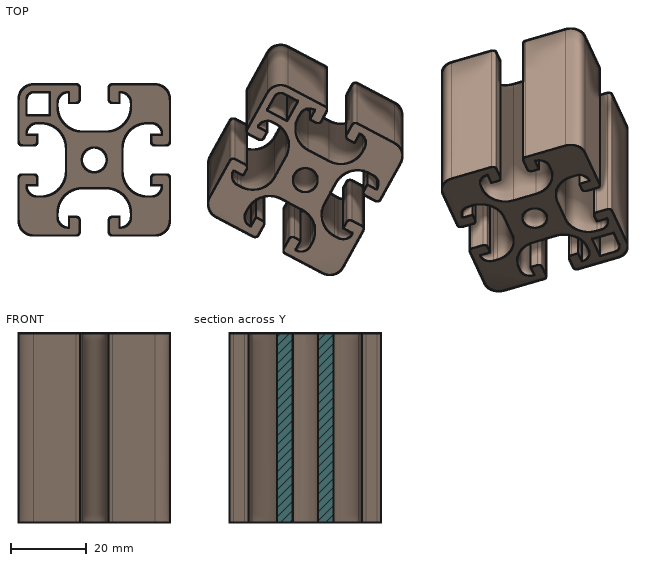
import cadquery as cq

side = 40.0
length = 50.0
corner_radius = 4.0
wall = 2.15
bore_diameter = 6.5

opening_width = 7.6
lip_depth = 5.0
lip_thickness = 2.9
lip_radius = 1.0
slot_depth = 12.5
slot_width = 19.3
floor_radius = 6.5
shoulder_radius = 2.75

half_side = side / 2
half_opening = opening_width / 2
half_slot = slot_width / 2
slot_floor = half_side - slot_depth
slot_ceiling = half_side - wall
lip_end = half_side - lip_depth
lip_back = half_opening + lip_thickness


def make_bar():
    return (
        cq.Workplane("XY")
        .rect(side, side)
        .extrude(length)
        .edges("|Z")
        .fillet(corner_radius)
    )


def vertical_edges_at(points):
    """Select the full-length edges standing on the given XY points."""
    tolerance = 0.05
    selector = None
    for x, y in points:
        box = cq.selectors.BoxSelector(
            (x - tolerance, y - tolerance, -tolerance),
            (x + tolerance, y + tolerance, length + tolerance),
        )
        selector = box if selector is None else selector + box
    return selector


def mirrored(x, y):
    return [(x, y), (-x, y)]


def make_slot():
    """Slot on the +Y side: a narrow mouth in front of a wide rounded chamber."""
    mouth = (
        cq.Workplane("XY")
        .rect(opening_width, lip_depth)
        .extrude(length)
        .translate((0, half_side - lip_depth / 2, 0))
    )
    chamber_outline = [
        (lip_back, lip_end),
        (lip_back, slot_ceiling),
        (half_slot, slot_ceiling),
        (half_slot, slot_floor),
        (-half_slot, slot_floor),
        (-half_slot, slot_ceiling),
        (-lip_back, slot_ceiling),
        (-lip_back, lip_end),
    ]
    chamber = cq.Workplane("XY").polyline(chamber_outline).close().extrude(length)
    roundings = [
        (half_slot, slot_floor, floor_radius),
        (half_slot, slot_ceiling, shoulder_radius),
    ]
    for x, y, radius in roundings:
        chamber = chamber.edges(vertical_edges_at(mirrored(x, y))).fillet(radius)
    return chamber.union(mouth)


def cut_slots(bar):
    slot = make_slot()
    for quarter_turn in range(4):
        bar = bar.cut(slot.rotate((0, 0, 0), (0, 0, 1), 90 * quarter_turn))
    return bar


def round_lips(bar):
    """Round the outer and inner mouth edge of every lip."""
    lip_points = []
    for level in (half_side, lip_end):
        for x, y in mirrored(half_opening, level):
            lip_points += [(x, y), (-y, x), (-x, -y), (y, -x)]
    return bar.edges(vertical_edges_at(lip_points)).fillet(lip_radius)


def make_corner_cavity():
    """Through cavity in the -X +Y corner, one wall away from the faces and slots."""
    inner = half_slot + wall
    outer = half_side - wall
    size = outer - inner
    middle = (outer + inner) / 2
    return (
        cq.Workplane("XY")
        .center(-middle, middle)
        .rect(size, size)
        .extrude(length)
        .edges(vertical_edges_at([(-outer, outer)]))
        .fillet(corner_radius - wall)
    )


def make_bore():
    return cq.Workplane("XY").circle(bore_diameter / 2).extrude(length)


profile = round_lips(cut_slots(make_bar()))
result = profile.cut(make_corner_cavity()).cut(make_bore())